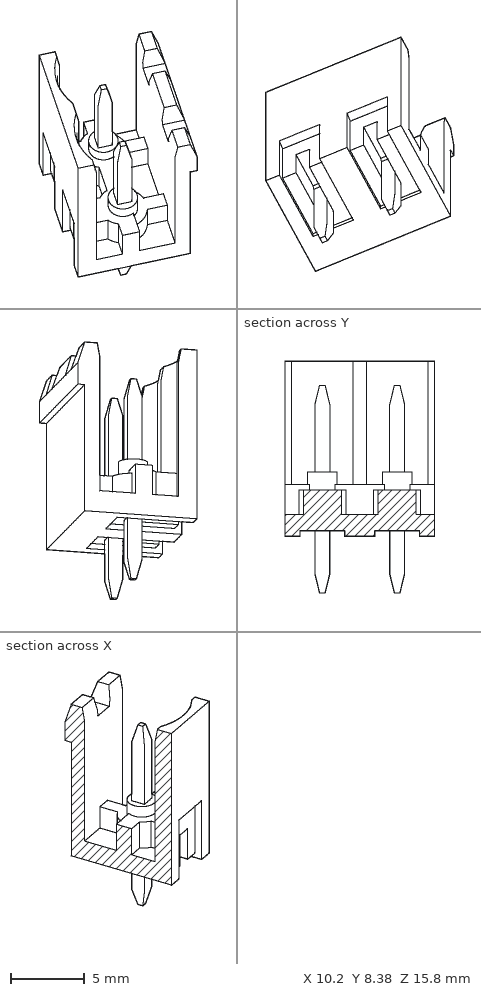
import cadquery as cq


pin_count = 2
housing_width = 10.16
housing_height = 11.9
pin_pitch = housing_width / pin_count
pin_xs = [(i - (pin_count - 1) / 2) * pin_pitch for i in range(pin_count)]

front_wall = 1.3
back_wall_inner_y = 6.82
back_wall_outer_y = 7.89
floor_height = 1.5
rim_bevel_depth = 1.0
rim_bevel_inset = 0.19

latch_outer_y = 8.38
latch_bottom_z = housing_height - 3.01
latch_ramp_z = housing_height - 1.5

notch_bottom_width = 1.51
notch_top_width = 2.03
notch_depth = 1.5

hollow_width = 4.19
hollow_depth = 0.57

pin_y = 3.83
pin_size = 1.01
pin_tip_size = 0.4
pin_tip_length = 1.28
pin_bottom_z = -3.85
pin_top_z = housing_height - 1.67

front_support_z = 3.55
rear_support_z = 3.17
collar_top_z = 4.36
collar_diameter = 2.0
support_radius = 1.67
cross_bar_front_y = 3.12
cross_bar_back_y = pin_y + pin_size / 2
front_rib_width = 2.02
rear_rib_width = 1.02

recess_width = 3.02
recess_depth = 0.5
recess_roof_front_z = 4.61
recess_roof_back_z = 4.32
slot_roof_z = 2.79
slot_bevel_height = 0.28
slot_bevel_length = 0.11
slot_end_y = pin_y - pin_size / 2
pocket_height = 0.38
pocket_end_y = pin_y + recess_width / 2


def box(x_mid, width, y_range, z_range):
    """Block centred on x_mid, between two Y and two Z positions."""
    y0, y1 = y_range
    z0, z1 = z_range
    return (
        cq.Workplane("XY", origin=(x_mid, (y0 + y1) / 2, z0))
        .box(width, y1 - y0, z1 - z0, centered=(True, True, False))
    )


def side_prism(x_mid, width, outline):
    """Extrude a closed (Y, Z) outline along X, centred on x_mid."""
    return (
        cq.Workplane("YZ", origin=(x_mid, 0, 0))
        .polyline(outline)
        .close()
        .extrude(width / 2, both=True)
    )


def housing():
    bevel_z = housing_height - rim_bevel_depth
    outline = [
        (0, 0),
        (back_wall_outer_y, 0),
        (back_wall_outer_y, latch_bottom_z),
        (latch_outer_y, latch_bottom_z),
        (latch_outer_y, latch_ramp_z),
        (back_wall_outer_y, housing_height),
        (back_wall_inner_y + rim_bevel_inset, housing_height),
        (back_wall_inner_y, bevel_z),
        (back_wall_inner_y, floor_height),
        (front_wall, floor_height),
        (front_wall, bevel_z),
        (front_wall - rim_bevel_inset, housing_height),
        (0, housing_height),
    ]
    return side_prism(0, housing_width, outline)


def hollow_profile(plane, x_mid, chord_y):
    """Circular segment whose chord lies on the wall face and bulges toward the front."""
    return (
        plane.moveTo(x_mid - hollow_width / 2, chord_y)
        .threePointArc((x_mid, chord_y - hollow_depth), (x_mid + hollow_width / 2, chord_y))
        .close()
    )


def wall_hollow(x_mid):
    """Upright hollow whose rim follows the bevel of the wall."""
    bevel_z = housing_height - rim_bevel_depth
    shaft_plane = cq.Workplane("XY", origin=(0, 0, floor_height))
    shaft = hollow_profile(shaft_plane, x_mid, front_wall).extrude(bevel_z - floor_height)
    lower = hollow_profile(cq.Workplane("XY", origin=(0, 0, bevel_z)), x_mid, front_wall)
    rim = hollow_profile(lower.workplane(offset=rim_bevel_depth), x_mid, front_wall - rim_bevel_inset)
    return shaft.union(rim.loft(ruled=True))


def latch_notch(x_mid):
    """Notch across the latch rim, wider at the top."""
    bottom_z = housing_height - notch_depth
    outline = [
        (x_mid - notch_bottom_width / 2, bottom_z),
        (x_mid + notch_bottom_width / 2, bottom_z),
        (x_mid + notch_top_width / 2, housing_height),
        (x_mid - notch_top_width / 2, housing_height),
    ]
    return (
        cq.Workplane("XZ", origin=(0, latch_outer_y, 0))
        .polyline(outline)
        .close()
        .extrude(latch_outer_y - back_wall_inner_y)
    )


def front_recess(x_mid):
    """Shallow recess with a sloping roof, a pin slot behind it and a pocket in the underside."""
    recess = side_prism(x_mid, recess_width, [
        (0, 0),
        (recess_depth, 0),
        (recess_depth, recess_roof_back_z),
        (0, recess_roof_front_z),
    ])
    slot = side_prism(x_mid, pin_size, [
        (0, 0),
        (slot_end_y, 0),
        (slot_end_y, slot_roof_z - slot_bevel_height),
        (slot_end_y - slot_bevel_length, slot_roof_z),
        (0, slot_roof_z),
    ])
    pocket = box(x_mid, recess_width, (0, pocket_end_y), (0, pocket_height))
    return recess.union(slot).union(pocket)


def pin_support(x_mid):
    """Round pedestal with a rib to each wall, stepped down behind the cross bar, and a collar."""
    pedestal = (
        cq.Workplane("XY", origin=(x_mid, pin_y, floor_height))
        .circle(support_radius)
        .extrude(front_support_z - floor_height)
    )
    step = box(
        x_mid, 2 * support_radius,
        (cross_bar_back_y, pin_y + support_radius), (rear_support_z, front_support_z),
    )
    front_rib = box(
        x_mid, front_rib_width,
        (front_wall - hollow_depth, cross_bar_front_y), (floor_height, front_support_z),
    )
    rear_rib = box(
        x_mid, rear_rib_width,
        (cross_bar_back_y, back_wall_inner_y), (floor_height, rear_support_z),
    )
    collar = (
        cq.Workplane("XY", origin=(x_mid, pin_y, floor_height))
        .circle(collar_diameter / 2)
        .extrude(collar_top_z - floor_height)
    )
    return pedestal.cut(step).union(front_rib).union(rear_rib).union(collar)


def pin_tip(x_mid, base_z, tip_z):
    """Tapered pin end running from base_z to tip_z."""
    return (
        cq.Workplane("XY", origin=(x_mid, pin_y, base_z))
        .rect(pin_size, pin_size)
        .workplane(offset=tip_z - base_z)
        .rect(pin_tip_size, pin_tip_size)
        .loft(ruled=True)
    )


def pin(x_mid):
    """Square pin tapered at both ends."""
    shank_bottom_z = pin_bottom_z + pin_tip_length
    shank_top_z = pin_top_z - pin_tip_length
    half = pin_size / 2
    shank = box(x_mid, pin_size, (pin_y - half, pin_y + half), (shank_bottom_z, shank_top_z))
    upper_tip = pin_tip(x_mid, shank_top_z, pin_top_z)
    lower_tip = pin_tip(x_mid, shank_bottom_z, pin_bottom_z)
    return shank.union(upper_tip).union(lower_tip)


cross_bar = box(
    0, housing_width,
    (cross_bar_front_y, cross_bar_back_y), (floor_height, front_support_z),
)

body = housing()
for x in pin_xs:
    body = body.cut(wall_hollow(x)).cut(latch_notch(x))

body = body.union(cross_bar)
for x in pin_xs:
    body = body.union(pin_support(x)).cut(front_recess(x)).union(pin(x))

result = body